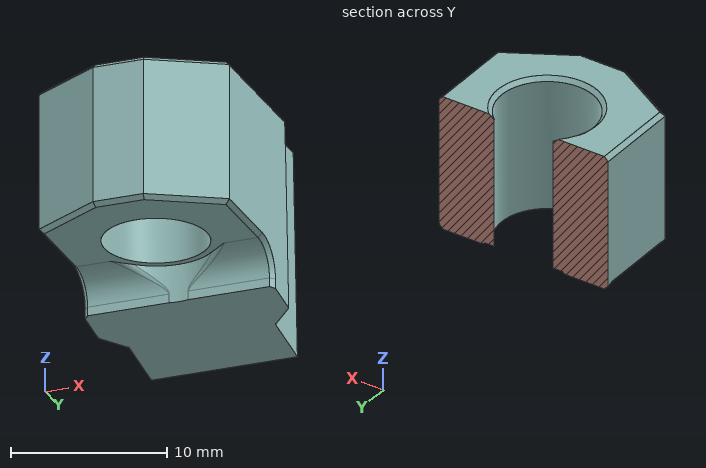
import cadquery as cq
import math

width = 13.1
length = 18.5
height = 14.0
block_height = 9.99
edge_chamfer = 0.3

nose_flat = 3.48
nose_angle = 30.0
nose_depth = (width - nose_flat) / 2 * math.tan(math.radians(nose_angle))

lean_angle = 3.0
tongue_width = 10.06
shoulder_y = 13.95
shoulder_step = (width - tongue_width) / 2

foot_front_y = 10.5
foot_fillet = 2.0
foot_slope = 10.0

hole_y = 6.57
hole_diameter = 7.03
clearance_diameter = 8.0
clearance_rounding = 0.37

tolerance = 0.02

foot_bottom = block_height - height
foot_front_bottom = foot_bottom + (length - foot_front_y) * math.tan(math.radians(foot_slope))


def lean(z):
    """Rearward shift of the leaning faces at height z, relative to the top face."""
    return (block_height - z) * math.tan(math.radians(lean_angle))


def make_body():
    """Side profile across the full width, with the concave fillet above the foot."""
    diagonal = foot_fillet * math.sqrt(0.5)
    arc_middle = (foot_front_y - foot_fillet + diagonal, diagonal - foot_fillet)
    return (
        cq.Workplane("YZ")
        .moveTo(0, 0)
        .lineTo(foot_front_y - foot_fillet, 0)
        .threePointArc(arc_middle, (foot_front_y, -foot_fillet))
        .lineTo(foot_front_y, foot_front_bottom)
        .lineTo(length, foot_bottom)
        .lineTo(length - lean(foot_bottom), block_height)
        .lineTo(0, block_height)
        .close()
        .extrude(width / 2, both=True)
    )


def make_nose_cutter():
    """Triangular prism that bevels the nose on the +X side."""
    return (
        cq.Workplane("XY")
        .polyline([(nose_flat / 2, 0), (width / 2, 0), (width / 2, nose_depth)])
        .close()
        .extrude(block_height)
    )


def make_shoulder_cutter():
    """Leaning prism that narrows the tongue on the +X side behind a 45 degree shoulder."""

    def section(z):
        rear_y = 2 * length
        front_y = shoulder_y + lean(z)
        points = [
            (tongue_width / 2, front_y),
            (width / 2, front_y - shoulder_step),
            (width, front_y - shoulder_step),
            (width, rear_y),
            (tongue_width / 2, rear_y),
        ]
        return cq.Wire.makePolygon([cq.Vector(x, y, z) for x, y in points], close=True)

    return cq.Workplane(cq.Solid.makeLoft([section(foot_bottom), section(block_height)], True))


body = make_body()
for cutter in (make_nose_cutter(), make_shoulder_cutter()):
    body = body.cut(cutter).cut(cutter.mirror("YZ"))

top_front = cq.selectors.BoxSelector(
    (-width, -tolerance, block_height - tolerance),
    (width, shoulder_y - shoulder_step - tolerance, block_height + tolerance),
)
body = body.edges(top_front).chamfer(edge_chamfer)

nose_edges = cq.selectors.BoxSelector(
    (-width, -tolerance, -tolerance),
    (width, nose_depth, tolerance),
)
side_edges = [
    cq.selectors.BoxSelector(
        (side * width / 2 - tolerance, nose_depth, foot_front_bottom),
        (side * width / 2 + tolerance, foot_front_y + tolerance, tolerance),
    )
    for side in (-1, 1)
]
body = body.edges(nose_edges + side_edges[0] + side_edges[1]).chamfer(edge_chamfer)

clearance = (
    cq.Workplane("XY", origin=(0, hole_y, foot_bottom))
    .circle(clearance_diameter / 2)
    .extrude(height)
)
body = body.cut(clearance)
clearance_edges = cq.selectors.BoxSelector(
    (-width / 4, nose_depth, foot_front_bottom + tolerance),
    (width / 4, foot_front_y + tolerance, tolerance),
)
body = body.edges(clearance_edges).fillet(clearance_rounding)

plug_radius = clearance_diameter / 2 + clearance_rounding
plug = cq.Workplane("XY").center(0, hole_y).circle(plug_radius).extrude(block_height)
body = body.union(plug)

hole = cq.Workplane("XY").center(0, hole_y).circle(hole_diameter / 2).extrude(block_height)
countersink = cq.Workplane(
    cq.Solid.makeCone(
        hole_diameter / 2,
        hole_diameter / 2 + edge_chamfer,
        edge_chamfer,
        cq.Vector(0, hole_y, block_height - edge_chamfer),
    )
)
result = body.cut(hole).cut(countersink)